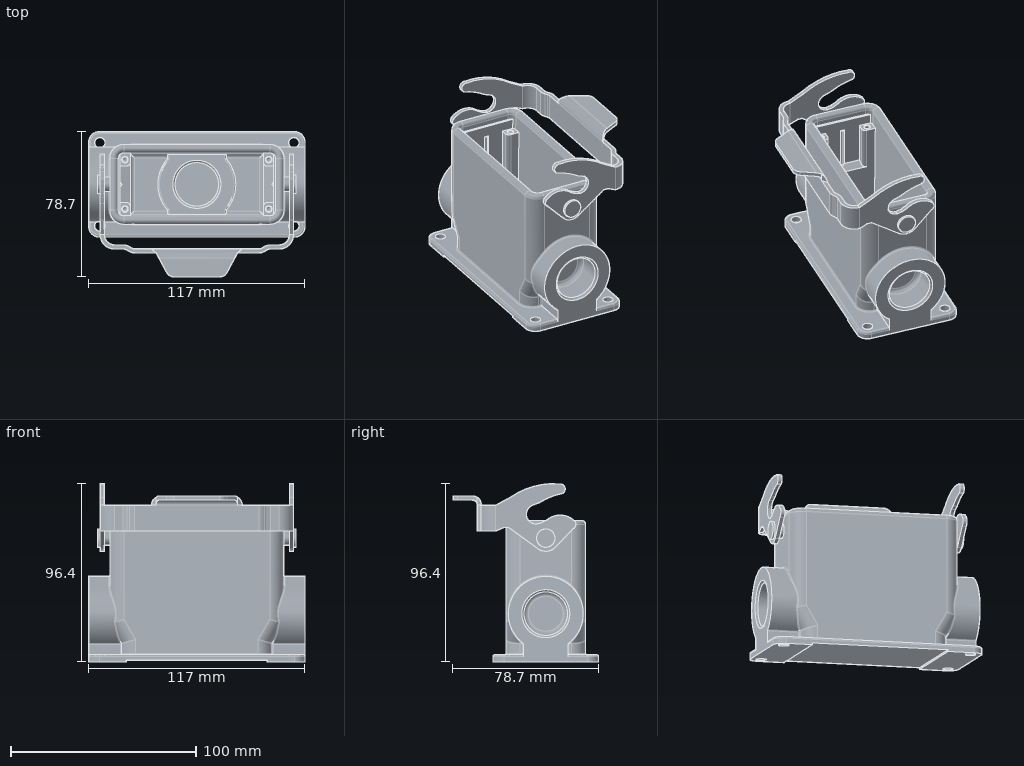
import cadquery as cq
import math

PLATE_LENGTH = 117.0
PLATE_WIDTH = 57.1
PLATE_TOP = 4.0
PLATE_CORNER = 5.8
PLATE_EDGE_ROUND = 1.0
MOUNT_HOLE_DIA = 5.5
MOUNT_HOLE_X = 52.4
MOUNT_HOLE_Y = 22.5
CHANNEL_LENGTH = 76.0
CHANNEL_DEPTH = 0.9

BODY_HALF_LENGTH = 47.0
BODY_WIDTH = 43.2
BODY_TOP = 76.5
BODY_CORNER = 7.6
NECK_HALF_LENGTH = 40.7
SLOPE_TOP = 20.8
SLOPE_BOTTOM = 10.1
RIM_THICKNESS = 4.6
RIM_BOTTOM = BODY_TOP - RIM_THICKNESS / 2
FOOT_ROUND = 0.6

MOUTH_HALF_LENGTH = BODY_HALF_LENGTH - RIM_THICKNESS
MOUTH_WIDTH = BODY_WIDTH - 2 * RIM_THICKNESS
MOUTH_BOTTOM = 71.4
MOUTH_CORNER = BODY_CORNER - RIM_THICKNESS
CAVITY_HALF_LENGTH = 41.4
SHELF_INNER_X = 35.9
SHELF_TOP = 42.7
SHELF_EDGE = 41.4
CAVITY_WIDTH = 32.8
CAVITY_FLOOR = 5.3
CAVITY_FLOOR_ROUND = 2.1

PAD_RADIUS = 21.1
PAD_WALL_LENGTH = 31.8
PAD_HEIGHT = 1.2
PAD_ROUND = 0.8
RECESS_DEPTH = 1.0

POST_TOP = 65.8
POST_INNER_Y = 9.8
POST_CORNER_ROUND = 2.1
SCREW_X = 38.8
SCREW_Y = 13.3
SCREW_HOLE_DIA = 2.9
SCREW_MOUTH_DIA = 3.5
SCREW_HOLE_DEPTH = 14.0
DRILL_TIP_ANGLE = 118
RIB_TOP = 65.2
RIB_HALF_WIDTH = 1.2
RIB_REACH = 0.9

ENTRY_HEIGHT = 26.1
ENTRY_RADIUS = 20.2
ENTRY_START = 38.6
ENTRY_JOINT_ROUND = 0.6
LEG_JOINT_ROUND = 0.6
BORE_MOUTH_DIA = 26.0
BORE_DIA = 23.5
BORE_END_DIA = 19.0
BORE_DEPTH = 16.4
LEG_WIDTH = 24.1
LEG_TOP = 11.7

SHEET = 2.3
PIVOT_HEIGHT = 66.9
PIN_DIA = 8.0
RIVET_HEAD_DIA = 10.0
RIVET_HEAD_HEIGHT = 1.3
LEVER_HALF_LENGTH = 52.3
LEVER_HUB_RADIUS = 7.1
HUB_BACK_SLOPE = 44
HUB_FRONT_SLOPE = 36
BAND_TOP = 84.7
BAND_BOTTOM = 70.7
BEND_RADIUS = 7.8
BEND_START_Y = -27.1
JOG_START_X = 39.9
JOG_END_X = 33.6
JOG_STEP = 2.1
JOG_ANGLE = 30
JOG_START_RADIUS = 4.2
JOG_END_RADIUS = 5.8

TAB_TOP = 89.7
TAB_FRONT_Y = -50.1
TAB_BEND_RADIUS = 4.9
TAB_ROOT_HALF = 24.6
TAB_NECK_HALF = 22.0
TAB_FRONT_HALF = 15.1
TAB_CORNER = 4.7


def both_ends(half):
    """Return a shape together with its mirror image across the YZ plane."""
    return half.union(half.mirror("YZ"))


def stepped_block(side, width):
    """Block along Y, with its end profile (x, z) given for +X and mirrored to -X."""
    mirrored = [(-x, z) for x, z in reversed(side)]
    return cq.Workplane("XZ").polyline(side + mirrored).close().extrude(width / 2, both=True)


def make_plate():
    plate = (
        cq.Workplane("XY")
        .rect(PLATE_LENGTH, PLATE_WIDTH)
        .extrude(PLATE_TOP)
        .edges("|Z")
        .fillet(PLATE_CORNER)
        .faces(">Z")
        .edges()
        .fillet(PLATE_EDGE_ROUND)
    )
    channel = cq.Workplane("XY").box(
        CHANNEL_LENGTH, PLATE_WIDTH, CHANNEL_DEPTH, centered=(True, True, False)
    )
    holes = (
        cq.Workplane("XY")
        .rect(2 * MOUNT_HOLE_X, 2 * MOUNT_HOLE_Y, forConstruction=True)
        .vertices()
        .circle(MOUNT_HOLE_DIA / 2)
        .extrude(PLATE_TOP)
    )
    return plate.cut(channel).cut(holes)


def make_body():
    """Outer shape of the housing, still without its cavity."""
    side = [
        (NECK_HALF_LENGTH, PLATE_TOP),
        (NECK_HALF_LENGTH, SLOPE_BOTTOM),
        (BODY_HALF_LENGTH, SLOPE_TOP),
        (BODY_HALF_LENGTH, RIM_BOTTOM),
    ]
    body = stepped_block(side, BODY_WIDTH)
    return body.faces("<Y or >Y").edges("not #Z").fillet(BODY_CORNER)


def make_rim():
    """Half-round bead along the top of the housing walls."""
    radius = RIM_THICKNESS / 2
    wall_middle = cq.Workplane("XY", origin=(0, 0, RIM_BOTTOM)).rect(
        2 * BODY_HALF_LENGTH - RIM_THICKNESS, BODY_WIDTH - RIM_THICKNESS
    )
    path = wall_middle.extrude(radius).edges("|Z").fillet(BODY_CORNER - radius)
    path = path.faces("<Z").wires()
    section = cq.Workplane("YZ", origin=(0, (BODY_WIDTH - RIM_THICKNESS) / 2, RIM_BOTTOM))
    section = section.moveTo(-radius, 0).threePointArc((0, radius), (radius, 0)).close()
    return section.sweep(path)


def make_entry():
    """Cable entry at the +X end: a round sleeve on a leg."""
    length = PLATE_LENGTH / 2 - ENTRY_START
    sleeve = (
        cq.Workplane("YZ", origin=(ENTRY_START, 0, ENTRY_HEIGHT))
        .circle(ENTRY_RADIUS)
        .extrude(length)
    )
    leg = cq.Workplane("XY").box(
        length, LEG_WIDTH, LEG_TOP, centered=(False, True, False)
    ).translate((ENTRY_START, 0, 0))
    return sleeve.union(leg).edges("|X").edges(">Z").fillet(LEG_JOINT_ROUND)


def plate_with_body(body):
    """Plate and housing, with the inner corner around the foot rounded."""
    foot_zone = cq.selectors.BoxSelector(
        (-BODY_HALF_LENGTH, -MOUNT_HOLE_Y, 0), (BODY_HALF_LENGTH, MOUNT_HOLE_Y, BODY_TOP)
    )
    joined = make_plate().union(body)
    return joined.faces("+Z").faces("<Z").edges(foot_zone).fillet(FOOT_ROUND)


def body_with_entries(body):
    """Housing and cable entries, with the inner corners between them rounded."""
    reach = PLATE_LENGTH / 2 - ENTRY_JOINT_ROUND
    half_width = BODY_WIDTH / 2
    plus_end = cq.selectors.BoxSelector(
        (ENTRY_START, -half_width, PLATE_TOP), (reach, half_width, RIM_BOTTOM)
    )
    minus_end = cq.selectors.BoxSelector(
        (-reach, -half_width, PLATE_TOP), (-ENTRY_START, half_width, RIM_BOTTOM)
    )
    joined = body.union(both_ends(make_entry()))
    return joined.edges(plus_end + minus_end).fillet(ENTRY_JOINT_ROUND)


def make_bore():
    """Blind bore of the +X cable entry, chamfered at its mouth and rounded at its end."""
    mouth_x = PLATE_LENGTH / 2
    end_x = mouth_x - BORE_DEPTH
    chamfer = (BORE_MOUTH_DIA - BORE_DIA) / 2
    end_round = (BORE_DIA - BORE_END_DIA) / 2
    section = (
        cq.Workplane("XY")
        .moveTo(end_x, 0)
        .lineTo(mouth_x, 0)
        .lineTo(mouth_x, BORE_MOUTH_DIA / 2)
        .lineTo(mouth_x - chamfer, BORE_DIA / 2)
        .lineTo(end_x + end_round, BORE_DIA / 2)
        .radiusArc((end_x, BORE_END_DIA / 2), -end_round)
        .close()
    )
    return section.revolve(360, (0, 0, 0), (1, 0, 0)).translate((0, 0, ENTRY_HEIGHT))


def make_cavity():
    side = [
        (SHELF_INNER_X, CAVITY_FLOOR),
        (SHELF_INNER_X, SHELF_EDGE),
        (CAVITY_HALF_LENGTH, SHELF_TOP),
        (CAVITY_HALF_LENGTH, MOUTH_BOTTOM),
        (MOUTH_HALF_LENGTH, MOUTH_BOTTOM),
        (MOUTH_HALF_LENGTH, RIM_BOTTOM),
    ]
    long_walls = [
        (-CAVITY_WIDTH / 2, CAVITY_FLOOR),
        (CAVITY_WIDTH / 2, CAVITY_FLOOR),
        (MOUTH_WIDTH / 2, RIM_BOTTOM),
        (-MOUTH_WIDTH / 2, RIM_BOTTOM),
    ]
    drafted = (
        cq.Workplane("YZ").polyline(long_walls).close().extrude(MOUTH_HALF_LENGTH, both=True)
    )
    well = stepped_block(side, MOUTH_WIDTH).intersect(drafted)
    well = well.faces("<Z").edges().fillet(CAVITY_FLOOR_ROUND)
    return well.faces("<X or >X").edges("not |Y").fillet(MOUTH_CORNER)


def make_pad():
    base = cq.Workplane("XY", origin=(0, 0, CAVITY_FLOOR))
    block = base.rect(PAD_WALL_LENGTH, CAVITY_WIDTH).extrude(PAD_HEIGHT)
    strip = base.rect(2 * PAD_RADIUS, CAVITY_WIDTH).extrude(PAD_HEIGHT)
    pad = base.circle(PAD_RADIUS).extrude(PAD_HEIGHT).intersect(strip).union(block)
    pad = pad.faces(">Z").edges("not |X").fillet(PAD_ROUND)
    recess = (
        cq.Workplane("XY", origin=(0, 0, CAVITY_FLOOR + PAD_HEIGHT - RECESS_DEPTH))
        .circle(BORE_DIA / 2)
        .workplane(offset=RECESS_DEPTH)
        .circle(BORE_MOUTH_DIA / 2)
        .loft()
    )
    return pad.cut(recess)


def make_post():
    """Screw post in the +X, +Y corner of the cavity."""
    size_x = CAVITY_HALF_LENGTH - SHELF_INNER_X
    size_y = MOUTH_WIDTH / 2 - POST_INNER_Y
    post = (
        cq.Workplane("XY")
        .box(size_x, size_y, POST_TOP - SHELF_EDGE, centered=False)
        .translate((SHELF_INNER_X, POST_INNER_Y, SHELF_EDGE))
        .edges("|Z and <X and <Y")
        .fillet(POST_CORNER_ROUND)
    )
    return post.cut(make_screw_hole())


def make_screw_hole():
    """Blind screw hole with a chamfered mouth and a drilled tip."""
    radius = SCREW_HOLE_DIA / 2
    mouth_radius = SCREW_MOUTH_DIA / 2
    tip_length = radius / math.tan(math.radians(DRILL_TIP_ANGLE / 2))
    section = [
        (0, 0),
        (mouth_radius, 0),
        (radius, radius - mouth_radius),
        (radius, -SCREW_HOLE_DEPTH),
        (0, -SCREW_HOLE_DEPTH - tip_length),
    ]
    hole = cq.Workplane("XZ").polyline(section).close().revolve(360, (0, 0, 0), (0, 1, 0))
    return hole.translate((SCREW_X, SCREW_Y, POST_TOP))


def make_rib():
    """Small three-sided rib on the +X end wall of the cavity."""
    section = [
        (CAVITY_HALF_LENGTH, -RIB_HALF_WIDTH),
        (CAVITY_HALF_LENGTH, RIB_HALF_WIDTH),
        (CAVITY_HALF_LENGTH - RIB_REACH, 0),
    ]
    base = cq.Workplane("XY", origin=(0, 0, SHELF_EDGE))
    return base.polyline(section).close().extrude(RIB_TOP - SHELF_EDGE)


def make_lever_side():
    """Hooked side plate of the lever at the +X end."""
    back_slope = math.radians(HUB_BACK_SLOPE)
    front_slope = math.radians(HUB_FRONT_SLOPE)
    hub_back = (
        LEVER_HUB_RADIUS * math.sin(back_slope),
        PIVOT_HEIGHT - LEVER_HUB_RADIUS * math.cos(back_slope),
    )
    hub_bottom = (0, PIVOT_HEIGHT - LEVER_HUB_RADIUS)
    hub_front = (
        -LEVER_HUB_RADIUS * math.sin(front_slope),
        PIVOT_HEIGHT - LEVER_HUB_RADIUS * math.cos(front_slope),
    )
    outline = (
        cq.Workplane("YZ", origin=(LEVER_HALF_LENGTH - SHEET, 0, 0))
        .moveTo(BEND_START_Y, BAND_TOP)
        .lineTo(-19.3, 88.9)
        .threePointArc((-9.0, 94.2), (2.9, 96.4))
        .lineTo(7.0, 96.2)
        .threePointArc((10.5, 93.4), (9.1, 91.0))
        .threePointArc((2.7, 89.2), (-3.5, 86.0))
        .lineTo(-7.0, 84.7)
        .threePointArc((-10.4, 80.0), (-5.3, 74.5))
        .lineTo(-2.3, 75.2)
        .lineTo(0.6, 76.8)
        .threePointArc((7.5, 79.5), (15.7, 76.0))
        .threePointArc((16.3, 74.2), (14.7, 72.0))
        .lineTo(*hub_back)
        .threePointArc(hub_bottom, hub_front)
        .lineTo(-20.0, 72.7)
        .lineTo(-22.5, 72.7)
        .lineTo(BEND_START_Y, BAND_BOTTOM)
        .close()
    )
    return outline.extrude(SHEET)


def make_band():
    """Front band of the lever, with rounded ends and a jogged middle."""
    corner_y = BEND_START_Y - BEND_RADIUS
    middle_y = corner_y - JOG_STEP
    diagonal = BEND_RADIUS * math.sqrt(0.5)
    bend_x = LEVER_HALF_LENGTH - BEND_RADIUS

    angle = math.radians(JOG_ANGLE)
    slope_start = (
        -JOG_START_X + JOG_START_RADIUS * math.sin(angle),
        corner_y - JOG_START_RADIUS * (1 - math.cos(angle)),
    )
    slope_end = (
        -JOG_END_X - JOG_END_RADIUS * math.sin(angle),
        middle_y + JOG_END_RADIUS * (1 - math.cos(angle)),
    )
    outline = (
        cq.Workplane("XY", origin=(0, 0, BAND_BOTTOM))
        .moveTo(-LEVER_HALF_LENGTH, 0)
        .lineTo(-LEVER_HALF_LENGTH, BEND_START_Y)
        .threePointArc((-bend_x - diagonal, BEND_START_Y - diagonal), (-bend_x, corner_y))
        .lineTo(-JOG_START_X, corner_y)
        .radiusArc(slope_start, JOG_START_RADIUS)
        .lineTo(*slope_end)
        .radiusArc((-JOG_END_X, middle_y), -JOG_END_RADIUS)
        .lineTo(0, middle_y)
        .lineTo(0, 0)
        .close()
    )
    filled = both_ends(outline.extrude(BAND_TOP - BAND_BOTTOM))
    strip = filled.faces("<Z or >Z").shell(-SHEET)
    behind_bends = cq.Workplane("XY", origin=(0, BEND_START_Y, 0)).box(
        PLATE_LENGTH, -2 * BEND_START_Y, 2 * BAND_TOP, centered=(True, False, True)
    )
    return strip.cut(behind_bends)


def make_tab():
    back_y = BEND_START_Y - BEND_RADIUS - JOG_STEP + SHEET
    bend_y = back_y - TAB_BEND_RADIUS
    bend_z = TAB_TOP - TAB_BEND_RADIUS
    inner_radius = TAB_BEND_RADIUS - SHEET
    outer_mid = TAB_BEND_RADIUS * math.sqrt(0.5)
    inner_mid = inner_radius * math.sqrt(0.5)
    bent_sheet = (
        cq.Workplane("YZ")
        .moveTo(back_y, BAND_TOP)
        .lineTo(back_y, bend_z)
        .threePointArc((bend_y + outer_mid, bend_z + outer_mid), (bend_y, TAB_TOP))
        .lineTo(TAB_FRONT_Y, TAB_TOP)
        .lineTo(TAB_FRONT_Y, TAB_TOP - SHEET)
        .lineTo(bend_y, TAB_TOP - SHEET)
        .threePointArc((bend_y + inner_mid, bend_z + inner_mid), (bend_y + inner_radius, bend_z))
        .lineTo(bend_y + inner_radius, BAND_TOP)
        .close()
        .extrude(TAB_ROOT_HALF, both=True)
    )
    plan = (
        cq.Workplane("XY")
        .moveTo(-TAB_ROOT_HALF, back_y)
        .lineTo(TAB_ROOT_HALF, back_y)
        .lineTo(TAB_NECK_HALF, back_y - SHEET)
        .lineTo(TAB_FRONT_HALF, TAB_FRONT_Y)
        .lineTo(-TAB_FRONT_HALF, TAB_FRONT_Y)
        .lineTo(-TAB_NECK_HALF, back_y - SHEET)
        .close()
        .extrude(TAB_TOP)
        .edges("|Z and <Y")
        .fillet(TAB_CORNER)
    )
    return bent_sheet.intersect(plan)


def make_rivet():
    """Rivet at the +X end, reaching from inside the end wall through the lever."""
    start = (BODY_HALF_LENGTH + CAVITY_HALF_LENGTH) / 2
    pin = (
        cq.Workplane("YZ", origin=(start, 0, PIVOT_HEIGHT))
        .circle(PIN_DIA / 2)
        .extrude(LEVER_HALF_LENGTH - start)
    )
    head = (
        cq.Workplane("YZ", origin=(LEVER_HALF_LENGTH, 0, PIVOT_HEIGHT))
        .circle(RIVET_HEAD_DIA / 2)
        .extrude(RIVET_HEAD_HEIGHT)
    )
    return pin.union(head)


body = make_body()
housing = plate_with_body(body).union(body_with_entries(body))
housing = housing.cut(make_cavity()).cut(both_ends(make_bore())).union(make_rim())

posts = both_ends(make_post())
posts = posts.union(posts.mirror("XZ"))
housing = housing.union(posts).union(make_pad()).union(both_ends(make_rib()))

lever = make_band().union(make_tab()).union(both_ends(make_lever_side()))
result = housing.union(lever).union(both_ends(make_rivet()))